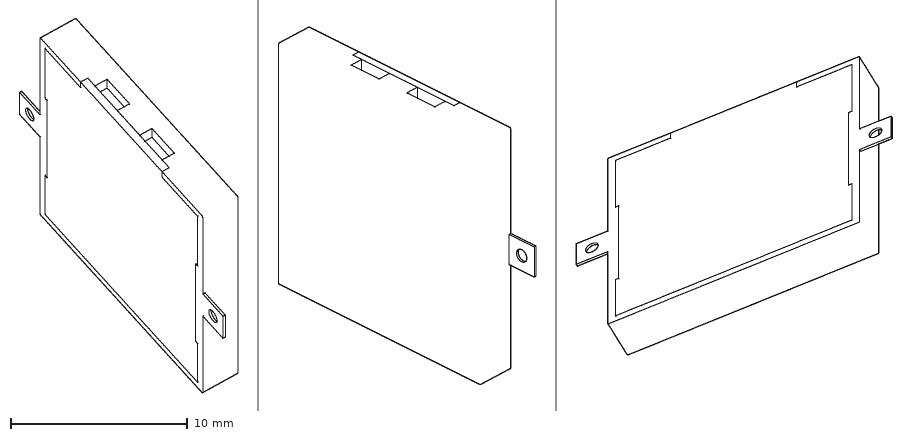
import cadquery as cq

side = 16.0
depth = 2.5
edge_radius = 0.1

rim = 0.5

tab_length = 2.0
tab_height = 2.0
tab_thickness = 0.15
tab_hole_diameter = 0.8

cover_thickness = 0.5
cover_side = side - 2 * rim
tongue_width = 8.0

land_step = 0.2
land_bottom = -4.0
land_top = 3.0

port_width = 2.2
port_spacing = 4.4
port_height = 0.85
port_depth = 0.8


def block(x_min, x_max, y_min, y_max, z_min, z_max):
    """Box between the given limits."""
    return cq.Workplane("XY").box(
        x_max - x_min, y_max - y_min, z_max - z_min, centered=False
    ).translate((x_min, y_min, z_min))


def make_cover():
    """Flat plate with a tongue reaching the housing top and a shallow notch in each side."""
    half = cover_side / 2
    plate = block(-half, half, 0, cover_thickness, -half, half)
    tongue = block(-tongue_width / 2, tongue_width / 2, 0, cover_thickness, 0, side / 2)
    cover = plate.union(tongue)
    for left_edge in (-half, half - land_step):
        notch = block(left_edge, left_edge + land_step, 0, cover_thickness, land_bottom, land_top)
        cover = cover.cut(notch)
    return cover


def make_tab(direction):
    """Drilled terminal tab on the side given by direction (-1 or +1)."""
    center_x = direction * (side + tab_length) / 2
    return (
        cq.Workplane("XZ", origin=(center_x, 0, 0))
        .rect(tab_length, tab_height)
        .circle(tab_hole_diameter / 2)
        .extrude(-tab_thickness)
    )


def make_housing(cover):
    """Rounded block with two tabs, a seat for the cover and two ports."""
    half = side / 2
    housing = block(-half, half, 0, depth, -half, half)
    housing = housing.edges("|Y or >Y").fillet(edge_radius)
    for direction in (-1, 1):
        housing = housing.union(make_tab(direction))

    housing = housing.cut(cover)

    for center_x in (-port_spacing / 2, port_spacing / 2):
        port = block(
            center_x - port_width / 2,
            center_x + port_width / 2,
            cover_thickness,
            cover_thickness + port_height,
            half - port_depth,
            half,
        )
        housing = housing.cut(port)
    return housing


cover = make_cover()
housing = make_housing(cover)

result = cq.Compound.makeCompound([housing.val(), cover.val()])